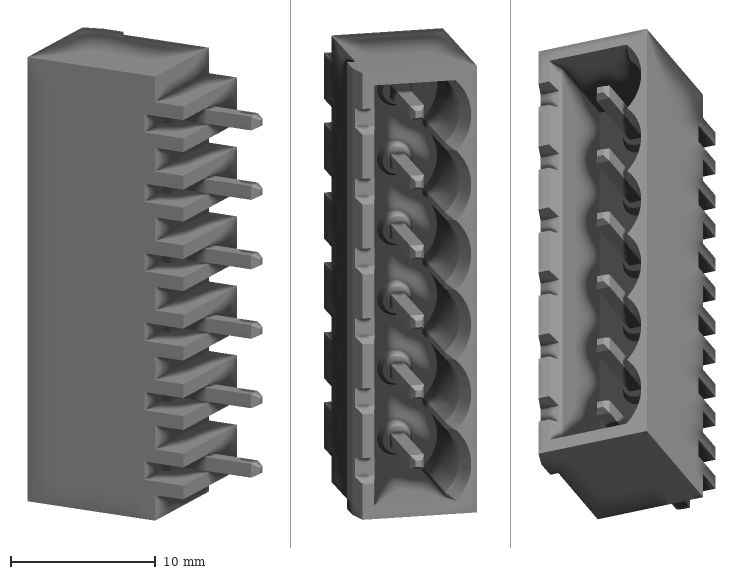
import cadquery as cq


PIN_COUNT = 6
LENGTH = 32.0
END_TO_PIN = 3.5
PITCH = (LENGTH - 2 * END_TO_PIN) / (PIN_COUNT - 1)
PIN_Z = [END_TO_PIN + i * PITCH for i in range(PIN_COUNT)]
PIN_Y = 3.9

WALL_TOP_Y = 7.9
BODY_BACK_X = 10.0
LEG_BACK_X = 12.2
LEG_WIDTH = 3.3

LIP_TOP_Y = 8.5
LIP_FRONT_Y = 8.13
LIP_BACK_X = 3.0
LEAD_IN = 1.45

CAVITY_DEPTH = 8.0
END_WALL = 0.93
CAVITY_FRONT_MIN_Y = 1.5
CAVITY_MIN_Y = 1.92
CAVITY_FRONT_Y = 7.33
CAVITY_MAX_Y = 6.9
SCALLOP_FRONT_RADIUS = 3.5
SCALLOP_RADIUS = 3.0

NOTCH_DEPTH = 1.05
NOTCH_FLOOR_WIDTH = 1.3
NOTCH_MOUTH_WIDTH = 1.85

COLLAR_BASE_RADIUS = 1.25
COLLAR_TOP_RADIUS = 1.0
COLLAR_HEIGHT = 0.65

PIN_SIZE = 1.0
PIN_FRONT_X = 0.95
PIN_BACK_X = 16.2
TIP_LENGTH = 0.5
TIP_SIZE = 0.48

SLOT_WIDTH = 1.3
SLOT_FRONT_X = 9.15
SLOT_STEP_X = 9.8
SLOT_FLOOR_Y = PIN_Y
STEP_FLOOR_Y = 2.55


def box(x0, x1, y0, y1, z0, z1):
    """Box between opposite corners."""
    return cq.Workplane("XY").box(x1 - x0, y1 - y0, z1 - z0, centered=False).translate((x0, y0, z0))


def round_frustum(x0, x1, radius0, radius1, z):
    """Truncated cone along X on the pin axis at height z."""
    start = cq.Vector(x0, PIN_Y, z)
    return cq.Workplane(cq.Solid.makeCone(radius0, radius1, x1 - x0, pnt=start, dir=cq.Vector(1, 0, 0)))


def square_frustum(x0, x1, size0, size1, z):
    """Truncated square pyramid along X on the pin axis at height z."""
    start = cq.Workplane("YZ", origin=(x0, PIN_Y, z)).rect(size0, size0)
    return start.workplane(offset=x1 - x0).rect(size1, size1).loft(ruled=True)


def housing():
    """Solid shroud block with the snap lip along one edge."""
    outline = [
        (0, 0),
        (BODY_BACK_X, 0),
        (BODY_BACK_X, WALL_TOP_Y),
        (LIP_BACK_X, WALL_TOP_Y),
        (LIP_BACK_X, LIP_TOP_Y),
        (LEAD_IN, LIP_TOP_Y),
        (0, LIP_FRONT_Y),
    ]
    return cq.Workplane("XY").polyline(outline).close().extrude(LENGTH)


def cavity():
    """Mating cavity: tapered keyed wall on one side, one scallop per pin on the other."""
    z0 = END_WALL
    z1 = LENGTH - END_WALL
    outline = [
        (0, CAVITY_FRONT_MIN_Y),
        (LEAD_IN, CAVITY_MIN_Y),
        (CAVITY_DEPTH, CAVITY_MIN_Y),
        (CAVITY_DEPTH, CAVITY_MAX_Y),
        (LEAD_IN, CAVITY_MAX_Y),
        (0, CAVITY_FRONT_Y),
    ]
    space = cq.Workplane("XY", origin=(0, 0, z0)).polyline(outline).close().extrude(z1 - z0)
    scallop_zone = box(0, CAVITY_DEPTH, 0, PIN_Y, z0, z1)
    for z in PIN_Z:
        cone = round_frustum(0, LEAD_IN, SCALLOP_FRONT_RADIUS, SCALLOP_RADIUS, z)
        bore = cq.Workplane("YZ", origin=(LEAD_IN, PIN_Y, z)).circle(SCALLOP_RADIUS)
        scallop = cone.union(bore.extrude(CAVITY_DEPTH - LEAD_IN))
        space = space.union(scallop.intersect(scallop_zone))
    return space


def coding_notch(z):
    """Flared notch across the keyed wall at the mating face."""
    outline = [
        (0, z - NOTCH_MOUTH_WIDTH / 2),
        (NOTCH_DEPTH, z - NOTCH_FLOOR_WIDTH / 2),
        (NOTCH_DEPTH, z + NOTCH_FLOOR_WIDTH / 2),
        (0, z + NOTCH_MOUTH_WIDTH / 2),
    ]
    plane = cq.Workplane("XZ", origin=(0, PIN_Y, 0))
    return plane.polyline(outline).close().extrude(PIN_Y - LIP_TOP_Y)


def leg(z):
    """Stand-off leg on the back of the housing."""
    return box(SLOT_FRONT_X, LEG_BACK_X, 0, WALL_TOP_Y, z - LEG_WIDTH / 2, z + LEG_WIDTH / 2)


def leg_slot(z):
    """Slot from the outer face to the pin, shallower at its inner end."""
    z0 = z - SLOT_WIDTH / 2
    z1 = z + SLOT_WIDTH / 2
    deep = box(SLOT_STEP_X, LEG_BACK_X, 0, SLOT_FLOOR_Y, z0, z1)
    return deep.union(box(SLOT_FRONT_X, SLOT_STEP_X, 0, STEP_FLOOR_Y, z0, z1))


def collar(z):
    """Tapered collar on the cavity floor."""
    top_x = CAVITY_DEPTH - COLLAR_HEIGHT
    return round_frustum(top_x, CAVITY_DEPTH, COLLAR_TOP_RADIUS, COLLAR_BASE_RADIUS, z)


def pin(z):
    """Square pin with a tapered tip at both ends."""
    shank_front = PIN_FRONT_X + TIP_LENGTH
    shank_back = PIN_BACK_X - TIP_LENGTH
    half = PIN_SIZE / 2
    shank = box(shank_front, shank_back, PIN_Y - half, PIN_Y + half, z - half, z + half)
    front_tip = square_frustum(PIN_FRONT_X, shank_front, TIP_SIZE, PIN_SIZE, z)
    back_tip = square_frustum(shank_back, PIN_BACK_X, PIN_SIZE, TIP_SIZE, z)
    return shank.union(front_tip).union(back_tip)


result = housing().cut(cavity())
for pin_z in PIN_Z:
    result = result.cut(coding_notch(pin_z))
    result = result.union(leg(pin_z)).cut(leg_slot(pin_z))
    result = result.union(collar(pin_z)).union(pin(pin_z))